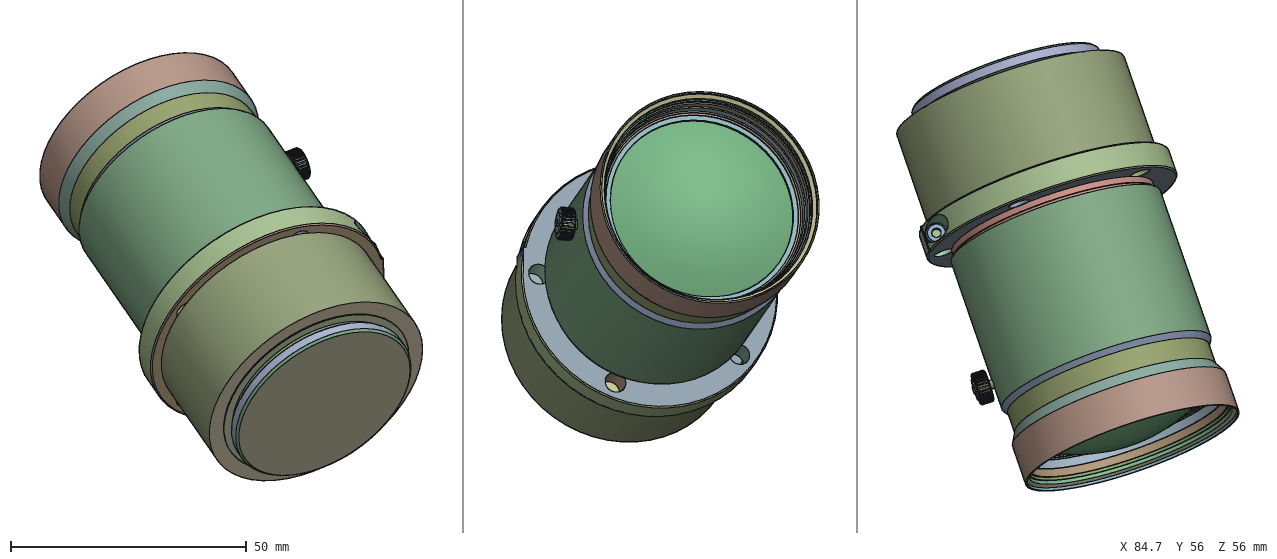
import cadquery as cq
import math

head_end = 8.7
groove_start = 11.2
groove_end = 15.9
barrel_start = 17.2
barrel_end = 50.8
collar_start = 51.65
flange_start = 53.0
flange_end = 58.8
housing_end = 80.8
rim_end = 81.05
thread_start = 81.75
total_length = 84.66

head_dia = 47.9
groove_dia = 45.2
barrel_dia = 47.0
neck_dia = 44.3
collar_dia = 45.2
flange_dia = 56.0
housing_dia = 51.1
rim_dia = 44.3
thread_relief_dia = 40.5
thread_dia = 42.0
flange_chamfer = 0.3
thread_chamfer = 0.5

mouth_dia = 47.2
mouth_cone_start = 0.6
mouth_cone_end = 1.1
mouth_steps = [(45.6, 1.9), (45.0, 2.55), (44.3, 4.3), (43.7, 6.2), (43.0, 6.5), (42.1, 6.8)]
glass_dia = 40.0
glass_edge_depth = 7.4
glass_rise = 6.0

flange_hole_count = 5
flange_hole_dia = 4.5
flange_hole_circle_dia = 48.4
flange_hole_first_angle = 0.0

thumb_x = 22.6
thumb_stem_dia = 2.0
thumb_stem_root = 0.9 * barrel_dia / 2
thumb_knob_start = 24.4
thumb_knob_end = 27.4
thumb_knob_dia = 7.0
thumb_knob_chamfer = 0.3
thumb_cap_dia = 4.5
thumb_cap_end = 27.7
thumb_tip_dia = 1.5
thumb_tip_end = flange_dia / 2
knurl_count = 30
knurl_width = 0.3
knurl_depth = 0.2

lug_outer_y = 27.6
lug_inner_y = 25.0
lug_top_z = 5.8
clamp_y = 25.0
clamp_x = (flange_start + flange_end) / 2
clamp_bore_dia = 4.9
clamp_floor_z = 5.0
clamp_head_dia = 4.5
clamp_head_chamfer = 0.35
clamp_head_top_z = 8.0
clamp_socket_dia = 2.0
clamp_socket_depth = 1.0


def glass_point(radius):
    """Point of the spherical glass surface at a given distance from the axis."""
    edge_radius = glass_dia / 2
    sphere_radius = (edge_radius**2 + glass_rise**2) / (2 * glass_rise)
    sag = sphere_radius - math.sqrt(sphere_radius**2 - radius**2)
    return (glass_edge_depth - glass_rise + sag, radius)


def make_body():
    """Outer body and front mouth as one revolved half section."""
    section = (
        cq.Workplane("XY")
        .moveTo(glass_edge_depth - glass_rise, 0)
        .threePointArc(glass_point(glass_dia / 4), glass_point(glass_dia / 2))
        .lineTo(mouth_steps[-1][1], glass_dia / 2)
    )
    for step_dia, floor_depth in reversed(mouth_steps):
        section = section.lineTo(floor_depth, step_dia / 2)
        previous = [depth for _, depth in mouth_steps if depth < floor_depth]
        section = section.lineTo(max(previous, default=mouth_cone_end), step_dia / 2)
    outline = [
        (mouth_cone_start, mouth_dia / 2),
        (0, mouth_dia / 2),
        (0, head_dia / 2),
        (head_end, head_dia / 2),
        (groove_start, groove_dia / 2),
        (groove_end, groove_dia / 2),
        (barrel_start, barrel_dia / 2),
        (barrel_end, barrel_dia / 2),
        (barrel_end, neck_dia / 2),
        (collar_start, neck_dia / 2),
        (collar_start, collar_dia / 2),
        (flange_start, collar_dia / 2),
        (flange_start, flange_dia / 2 - flange_chamfer),
        (flange_start + flange_chamfer, flange_dia / 2),
        (flange_end - flange_chamfer, flange_dia / 2),
        (flange_end, flange_dia / 2 - flange_chamfer),
        (flange_end, housing_dia / 2),
        (housing_end, housing_dia / 2),
        (housing_end, rim_dia / 2),
        (rim_end, rim_dia / 2),
        (rim_end, thread_relief_dia / 2),
        (thread_start, thread_relief_dia / 2),
        (thread_start + thread_chamfer, thread_dia / 2),
        (total_length - thread_chamfer, thread_dia / 2),
        (total_length, thread_dia / 2 - thread_chamfer),
        (total_length, 0),
    ]
    for point in outline:
        section = section.lineTo(*point)
    return section.close().revolve(360, (0, 0, 0), (1, 0, 0))


def make_flange_holes():
    """Holes parallel to the lens axis, from the flange face to the housing."""
    return (
        cq.Workplane("YZ", origin=(flange_start, 0, 0))
        .polarArray(flange_hole_circle_dia / 2, flange_hole_first_angle, 360, flange_hole_count)
        .circle(flange_hole_dia / 2)
        .extrude(flange_end - flange_start)
    )


def rod(axis_plane, origin, diameter, length):
    """Cylinder standing on the given plane."""
    return cq.Workplane(axis_plane, origin=origin).circle(diameter / 2).extrude(length)


def make_thumb_screw():
    """Knurled thumb screw standing on the barrel."""

    def rod_y(diameter, start, end):
        return rod("ZX", (thumb_x, start, 0), diameter, end - start)

    knob = rod_y(thumb_knob_dia, thumb_knob_start, thumb_knob_end).edges().chamfer(thumb_knob_chamfer)
    knurl_grooves = (
        cq.Workplane("ZX", origin=(thumb_x, thumb_knob_start, 0))
        .polarArray(thumb_knob_dia / 2, 0, 360, knurl_count)
        .rect(2 * knurl_depth, knurl_width)
        .extrude(thumb_knob_end - thumb_knob_start)
    )
    stem = rod_y(thumb_stem_dia, thumb_stem_root, thumb_knob_end)
    cap = rod_y(thumb_cap_dia, thumb_knob_start, thumb_cap_end)
    tip = rod_y(thumb_tip_dia, thumb_knob_start, thumb_tip_end)
    return knob.cut(knurl_grooves).union(stem).union(cap).union(tip)


def make_lug():
    """Small block that squares off the flange beside the clamp screw."""
    return cq.Workplane("XY").box(
        flange_end - flange_start, lug_outer_y - lug_inner_y, lug_top_z, centered=False
    ).translate((flange_start, lug_inner_y, 0))


def add_clamp_screw(body):
    """Bore into the flange and the socket-head screw seated in it."""
    bore = rod("XY", (clamp_x, clamp_y, clamp_floor_z), clamp_bore_dia, flange_dia)
    head = rod("XY", (clamp_x, clamp_y, clamp_floor_z), clamp_head_dia, clamp_head_top_z - clamp_floor_z)
    head = head.faces(">Z").edges().chamfer(clamp_head_chamfer)
    socket_floor = clamp_head_top_z - clamp_socket_depth
    socket = rod("XY", (clamp_x, clamp_y, socket_floor), clamp_socket_dia, clamp_socket_depth)
    return body.cut(bore).union(head.cut(socket))


body = make_body().union(make_lug()).cut(make_flange_holes())
result = add_clamp_screw(body).union(make_thumb_screw())